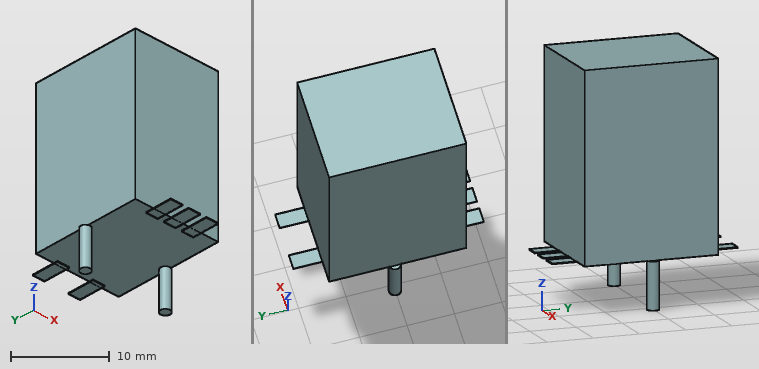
import cadquery as cq

total_width = 12.6
total_depth = 20.1
total_height = 25.6

pin_diameter = 1.3
pin_length = 5.12
pin_offset = (total_width - pin_diameter) / 2

lead_width = 1.66
lead_length = 3.6
lead_thickness = 0.1
lead_pitch = 2.5
front_lead_exposed = 2.55

housing_width = 11.7
housing_depth = 14.5
housing_height = total_height - pin_length
housing_front = -total_depth / 2 + front_lead_exposed


def make_housing():
    """Plain rectangular block."""
    return (
        cq.Workplane("XY")
        .box(housing_width, housing_depth, housing_height, centered=(True, False, False))
        .translate((0, housing_front, 0))
    )


def make_pin(x):
    """Round pin hanging down from the housing underside at the given X."""
    return cq.Workplane("XY").center(x, 0).circle(pin_diameter / 2).extrude(-pin_length)


def make_lead(x, y):
    """Flat lead centred at (x, y), with its top face on the housing underside."""
    return cq.Workplane("XY").center(x, y).rect(lead_width, lead_length).extrude(-lead_thickness)


housing = make_housing()

pins = [make_pin(side * pin_offset) for side in (-1, 1)]

lead_center_y = (total_depth - lead_length) / 2
front_leads = [make_lead(step * lead_pitch, -lead_center_y) for step in (-1, 0, 1)]
back_leads = [make_lead(step * lead_pitch, lead_center_y) for step in (-1, 1)]

small_bodies = pins + front_leads + back_leads
result = cq.Compound.makeCompound([housing.val(), *[body.val() for body in small_bodies]])